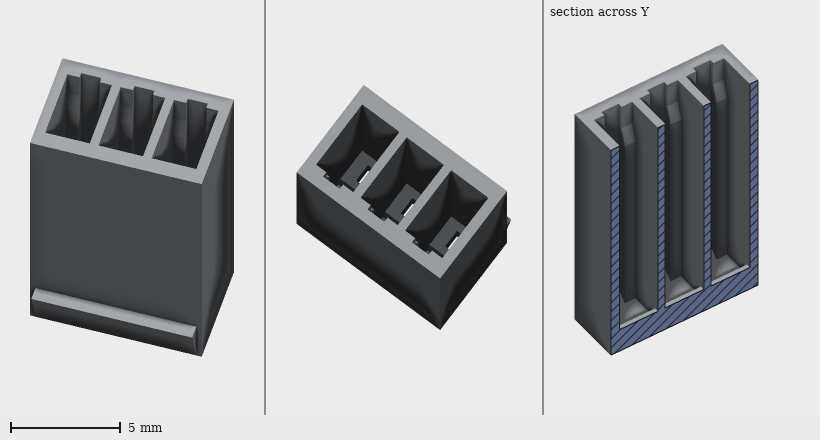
import cadquery as cq
import math

width = 8.18
height = 12.95
overall_depth = 5.74

latch_reach = 0.66
latch_height = 2.16
latch_side_inset = 0.26
depth = overall_depth - latch_reach

chamber_count = 3
pitch = 2.54
chamber_width = 2.12
front_wall = 0.76
rear_wall = 0.82
floor_thickness = front_wall

steep_slope = math.tan(math.radians(74.7))
lead_in_top_z = 11.62
lead_in_run = 0.26
ledge_length = 1.65
step_run = 0.17

keyway_width = 0.96
keyway_depth = 0.25

pin_hole_size = 0.9
pin_hole_y = 1.59

lead_in_foot_z = lead_in_top_z - lead_in_run * steep_slope
ledge_z = floor_thickness + step_run * steep_slope
chamber_front_y = front_wall
step_top_y = chamber_front_y + ledge_length
step_foot_y = step_top_y + step_run
chamber_rear_y = depth - rear_wall
lead_in_foot_y = chamber_rear_y - lead_in_run
keyway_rear_y = chamber_rear_y + keyway_depth


def extrude_profile(points, span, centre_x):
    """Extrude a closed (Y, Z) profile along X, centred on centre_x."""
    start = cq.Workplane("YZ", origin=(centre_x - span / 2, 0, 0))
    return start.polyline(points).close().extrude(span)


def make_block():
    return cq.Workplane("XY").box(width, depth, height, centered=(True, False, False))


def make_latch():
    """Wedge with a flat top that tapers into the front face at the underside."""
    profile = [(0, 0), (-latch_reach, latch_height), (0, latch_height)]
    return extrude_profile(profile, width - 2 * latch_side_inset, 0)


def make_chamber(centre_x):
    """Chamber void, narrowed at the rear below the lead-in ramp."""
    profile = [
        (chamber_front_y, height),
        (chamber_front_y, ledge_z),
        (step_top_y, ledge_z),
        (step_foot_y, floor_thickness),
        (lead_in_foot_y, floor_thickness),
        (lead_in_foot_y, lead_in_foot_z),
        (chamber_rear_y, lead_in_top_z),
        (chamber_rear_y, height),
    ]
    return extrude_profile(profile, chamber_width, centre_x)


def make_keyway(centre_x):
    ramp_rise = keyway_rear_y - lead_in_foot_y
    profile = [
        (lead_in_foot_y, height),
        (lead_in_foot_y, floor_thickness),
        (keyway_rear_y, floor_thickness + ramp_rise),
        (keyway_rear_y, height),
    ]
    return extrude_profile(profile, keyway_width, centre_x)


def make_pin_hole(centre_x):
    hole = cq.Workplane("XY").box(pin_hole_size, pin_hole_size, height, centered=(True, True, False))
    return hole.translate((centre_x, pin_hole_y, 0))


result = make_block().union(make_latch())
for index in range(chamber_count):
    chamber_x = (index - (chamber_count - 1) / 2) * pitch
    result = result.cut(make_chamber(chamber_x))
    result = result.cut(make_keyway(chamber_x))
    result = result.cut(make_pin_hole(chamber_x))